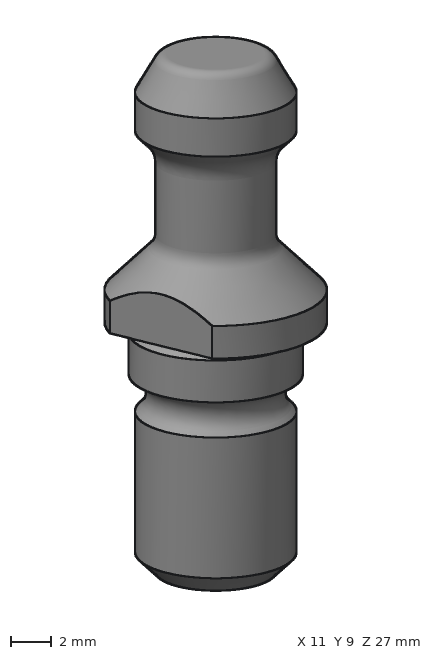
import cadquery as cq
import math

total_height = 27.0
end_chamfer = 1.0
shank_top = 8.35
collar_bottom = 10.3
collar_top = 12.47
flange_bottom = 13.0
flange_rim_top = 14.7
head_bottom = 23.0
head_rim_top = 25.0

shank_radius = 4.0
groove_radius = 3.45
collar_radius = 8.6 / 2
relief_radius = 4.05
flange_radius = 11.0 / 2
neck_radius = 3.0
head_radius = 4.0

groove_fillet = 1.0
relief_fillet = 0.22
neck_lower_fillet = 1.0
neck_upper_fillet = 1.48
head_top_fillet = 0.68
head_taper = math.radians(30)
width_across_flats = 9.0

SLOPE = math.radians(45)


def fillet_points(waist_radius, fillet, cone_radius, cone_z, direction):
    """Return waist tangent, arc middle and cone tangent points of a fillet.

    The 45 degree cone passes through (cone_radius, cone_z); direction is +1
    when the cone widens upwards from the waist and -1 when it widens downwards.
    """
    cone_tangent_radius = waist_radius + fillet * (1 - math.cos(SLOPE))
    cone_tangent_z = cone_z - direction * (cone_radius - cone_tangent_radius)
    waist_z = cone_tangent_z - direction * fillet * math.sin(SLOPE)
    middle_radius = waist_radius + fillet * (1 - math.cos(SLOPE / 2))
    middle_z = waist_z + direction * fillet * math.sin(SLOPE / 2)
    return (waist_radius, waist_z), (middle_radius, middle_z), (cone_tangent_radius, cone_tangent_z)


def head_round_points():
    """Return cone tangent, arc middle and top tangent points of the head's top round."""
    corner_radius = head_radius - (total_height - head_rim_top) * math.tan(head_taper)
    turn = math.pi / 2 - head_taper
    center_radius = corner_radius - head_top_fillet * math.tan(turn / 2)
    center_z = total_height - head_top_fillet
    angles = (head_taper, head_taper + turn / 2, math.pi / 2)
    return [
        (center_radius + head_top_fillet * math.cos(a), center_z + head_top_fillet * math.sin(a))
        for a in angles
    ]


def make_body():
    """Revolve the half profile, drawn from the bottom end to the top."""
    groove_low, groove_low_mid, groove_low_cone = fillet_points(
        groove_radius, groove_fillet, shank_radius, shank_top, -1)
    groove_center_z = groove_low[1]
    groove_high_mid = (groove_low_mid[0], 2 * groove_center_z - groove_low_mid[1])
    groove_high_cone = (groove_low_cone[0], 2 * groove_center_z - groove_low_cone[1])
    groove_exit_radius = groove_high_cone[0] + collar_bottom - groove_high_cone[1]
    relief_waist, _, relief_cone = fillet_points(
        relief_radius, relief_fillet, collar_radius, collar_top, -1)
    relief_rise = flange_bottom - relief_waist[1]
    relief_exit_radius = relief_radius + relief_fillet - math.sqrt(relief_fillet**2 - relief_rise**2)
    neck_low, neck_low_mid, neck_low_cone = fillet_points(
        neck_radius, neck_lower_fillet, flange_radius, flange_rim_top, -1)
    neck_high, neck_high_mid, neck_high_cone = fillet_points(
        neck_radius, neck_upper_fillet, head_radius, head_bottom, 1)
    head_cone, head_mid, head_flat = head_round_points()

    profile = (
        cq.Workplane("XZ")
        .lineTo(shank_radius - end_chamfer, 0)
        .lineTo(shank_radius, end_chamfer)
        .lineTo(shank_radius, shank_top)
        .lineTo(*groove_low_cone)
        .threePointArc(groove_low_mid, groove_low)
        .threePointArc(groove_high_mid, groove_high_cone)
        .lineTo(groove_exit_radius, collar_bottom)
        .lineTo(collar_radius, collar_bottom)
        .lineTo(collar_radius, collar_top)
        .lineTo(*relief_cone)
        .threePointArc(relief_waist, (relief_exit_radius, flange_bottom))
        .lineTo(flange_radius, flange_bottom)
        .lineTo(flange_radius, flange_rim_top)
        .lineTo(*neck_low_cone)
        .threePointArc(neck_low_mid, neck_low)
        .lineTo(*neck_high)
        .threePointArc(neck_high_mid, neck_high_cone)
        .lineTo(head_radius, head_bottom)
        .lineTo(head_radius, head_rim_top)
        .lineTo(*head_cone)
        .threePointArc(head_mid, head_flat)
        .lineTo(0, total_height)
        .close()
    )
    return profile.revolve(360, (0, 0, 0), (0, 1, 0))


def make_flats_envelope():
    """Block whose Y faces cut the two wrench flats on the flange."""
    return cq.Workplane("XY").box(
        2 * flange_radius, width_across_flats, total_height, centered=(True, True, False))


result = make_body().intersect(make_flats_envelope())